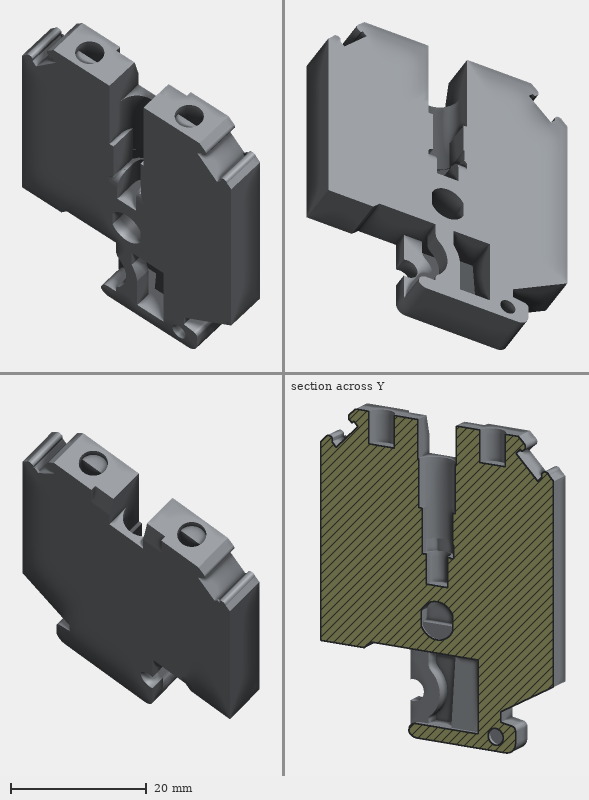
import cadquery as cq
import math

width = 40.0
thick = 6.7
height = 49.0
half = width / 2
skin = 0.3
back_skin = thick - skin

shoulder_z = 43.0
left_bottom_z = 12.5
right_bottom_z = 11.4
rail_z = 13.55
step_x = -11.4
step_rise = rail_z - left_bottom_z
foot_left = -5.05
foot_right = 13.5
foot_round_left = 1.6
foot_round_right = 1.75
neck_x = 10.95
neck_top = 6.2
lip_z = 4.65
lip_shoulder = (12.8, 4.35)
lip_arc_mid = (13.3, 4.1)
lip_arc_end_z = 3.6

hook_start_x = 13.95
hook_arc = [(14.9, 48.1), (15.2, 47.55), (15.1, 47.15)]
bump_arc = [(19.2, 43.8), (18.6, 44.25), (17.95, 43.9)]
bump_foot_z = 43.35
groove_top = (13.58, 46.32)
groove_bottom = (17.28, 42.62)
undercut_depth = 0.42
undercut_height = 0.95
undercut_run = undercut_depth * math.sqrt(0.5)
undercut_rise = undercut_height * math.sqrt(0.5)

slot_half = 3.25
well_top = 43.0
well_axis_y = 2.45
throat_left = -2.5
throat_right = 2.65
throat_top = 35.5
facet_top = 30.5
facet_bottom = 28.5
facet_half = 1.28
facet_right = 2.8
facet_shoulder_y = 4.45
well_back = well_axis_y + slot_half
seat_round = 2.1
seat_corner = 0.8
stem_half = 1.77
stem_bottom = 23.95
stem_axis_y = well_back - stem_half
nut_half = 2.2
nut_rise = 0.1

ramp_reach = 6.75
ramp_depth = 0.9
ramp_drop = 3.4

screw_x = 9.5
screw_y = 3.0
screw_d = 4.3
screw_step = 1.15
screw_depth = 5.0

test_d = 5.8
test_half_width = 2.65
test_z = 18.55
test_step_z = 17.95
test_step_depth = 3.7
test_depth = 5.0

open_left = foot_left - 1.0
foot_floor = 2.26
floor_round = 1.23
floor_round_x = -3.62
latch_x = -2.02
latch_thick = 2.58
plate_front = 4.24
bow_x = -4.6
bow_z = 7.0
bow_r = 4.55
bow_outer_r = 6.7
bow_upper_fillet = 1.8
bow_lower_fillet = 0.8
notch_x = -4.47
notch_r = 1.68
window_left = 2.05
window_right = 7.03
window_bottom_y = 4.04
window_top_y = 5.32
strip_left = 0.97
pin_x = 10.05
pin_d = 2.5
pin_depth = 4.0


def box(x0, x1, y0, y1, z0, z1):
    """Block given by its limits along the three axes."""
    return cq.Workplane("XY").box(x1 - x0, y1 - y0, z1 - z0, centered=False).translate((x0, y0, z0))


def front_prism(sketch, y0, y1):
    """Extrude a profile drawn in XZ from y0 to y1."""
    return sketch.extrude(-(y1 - y0)).translate((0, y0, 0))


def front_cylinder(x, z, radius, y0, y1):
    """Round bar along Y from y0 to y1."""
    return front_prism(cq.Workplane("XZ").center(x, z).circle(radius), y0, y1)


def mirror_x(point):
    """Point reflected to the other side of the slot."""
    return (-point[0], point[1])


def housing():
    """Full-thickness body with both marker grooves, slot and foot."""
    left_hook = [mirror_x(p) for p in hook_arc]
    left_bump = [mirror_x(p) for p in bump_arc]
    undercut_end = (groove_top[0] + undercut_rise, groove_top[1] + undercut_rise)
    upper_lip = (undercut_end[0] + undercut_run, undercut_end[1] - undercut_run)
    bump_foot = (bump_arc[2][0], bump_foot_z)
    outline = (
        cq.Workplane("XZ")
        .moveTo(-half, left_bottom_z)
        .lineTo(-half, shoulder_z)
        .lineTo(*left_bump[0])
        .threePointArc(left_bump[1], left_bump[2])
        .lineTo(*mirror_x(bump_foot))
        .lineTo(*mirror_x(groove_bottom))
        .lineTo(*mirror_x(groove_top))
        .lineTo(*mirror_x(undercut_end))
        .lineTo(*mirror_x(upper_lip))
        .lineTo(*left_hook[2])
        .threePointArc(left_hook[1], left_hook[0])
        .lineTo(-hook_start_x, height)
        .lineTo(hook_start_x, height)
        .lineTo(*hook_arc[0])
        .threePointArc(hook_arc[1], hook_arc[2])
        .lineTo(*upper_lip)
        .lineTo(*undercut_end)
        .lineTo(*groove_top)
        .lineTo(*groove_bottom)
        .lineTo(*bump_foot)
        .lineTo(*bump_arc[2])
        .threePointArc(bump_arc[1], bump_arc[0])
        .lineTo(half, shoulder_z)
        .lineTo(half, right_bottom_z)
        .lineTo(neck_x, neck_top)
        .lineTo(neck_x, lip_z)
        .lineTo(*lip_shoulder)
        .threePointArc(lip_arc_mid, (foot_right, lip_arc_end_z))
        .lineTo(foot_right, foot_round_right)
        .radiusArc((foot_right - foot_round_right, 0), foot_round_right)
        .lineTo(foot_left + foot_round_left, 0)
        .radiusArc((foot_left, foot_round_left), foot_round_left)
        .lineTo(foot_left, rail_z)
        .lineTo(step_x, rail_z)
        .lineTo(step_x - step_rise, left_bottom_z)
        .close()
    )
    return front_prism(outline, 0, thick)


def groove_skin(side):
    """Back skin that closes both undercut ends of one marker groove."""
    pieces = cq.Workplane("XZ")
    for (x, z), inward in ((groove_top, 1), (groove_bottom, -1)):
        run = inward * undercut_run
        corners = [
            (x, z),
            (x + run, z - run),
            (x + run + undercut_rise, z - run + undercut_rise),
            (x + undercut_rise, z + undercut_rise),
        ]
        pieces = pieces.polyline([(side * px, pz) for px, pz in corners]).close()
    return front_prism(pieces, back_skin, thick)


def arch(half_width, axis_y, z0, z1):
    """Well open at the front with a half-round back."""
    return (
        cq.Workplane("XY", origin=(0, 0, z0))
        .moveTo(-half_width, 0)
        .lineTo(-half_width, axis_y)
        .threePointArc((0, axis_y + half_width), (half_width, axis_y))
        .lineTo(half_width, 0)
        .close()
        .extrude(z1 - z0)
    )


def centre_well():
    """Slot, arched well, narrow throat, faceted seat and round stem."""
    slot = box(-slot_half, slot_half, 0, thick, well_top, height)
    upper = arch(slot_half, well_axis_y, throat_top, well_top)
    throat = arch(slot_half, well_axis_y, facet_top, throat_top).intersect(
        box(throat_left, throat_right, 0, thick, facet_top, throat_top)
    )
    facets = (
        cq.Workplane("XY", origin=(0, 0, facet_bottom))
        .polyline([
            (throat_left, 0),
            (throat_left, facet_shoulder_y),
            (-facet_half, well_back),
            (facet_half, well_back),
            (facet_right, facet_shoulder_y),
            (facet_right, 0),
        ])
        .close()
        .extrude(facet_top - facet_bottom)
    )
    nut_land = arch(slot_half, well_axis_y, facet_bottom, facet_bottom + nut_rise).intersect(
        box(-nut_half, nut_half, seat_round, well_back, facet_bottom, facet_bottom + nut_rise)
    )
    seat_bottom = facet_bottom - seat_round
    seat = box(-slot_half, slot_half, 0, seat_round, seat_bottom, facet_bottom)
    seat = seat.edges("|Y and >Z").fillet(seat_corner)
    nose = (
        cq.Workplane("YZ", origin=(-slot_half, seat_round, seat_bottom))
        .circle(seat_round)
        .extrude(2 * slot_half)
    )
    stem_well = arch(stem_half, stem_axis_y, stem_bottom, facet_bottom + nut_rise)
    seat_well = facets.cut(nut_land).union(seat.cut(nose)).union(stem_well)
    return slot.union(upper).union(throat).union(seat_well)


def slot_ramps():
    """Sloped relief on the back edge beside the slot."""
    return (
        cq.Workplane("YZ", origin=(-ramp_reach, 0, 0))
        .polyline([(thick - ramp_depth, height), (thick, height), (thick, height - ramp_drop)])
        .close()
        .extrude(2 * ramp_reach)
    )


def screw_hole(x):
    """Round hole in the top with a shallow step in its front half."""
    radius = screw_d / 2
    hole = cq.Workplane("XY", origin=(x, screw_y, height)).circle(radius).extrude(-screw_depth)
    step = box(x - radius, x + radius, screw_y - radius, screw_y, height - screw_depth, height - screw_step)
    return hole.cut(step)


def test_hole():
    """Round front hole with flat sides, shallower in its lower part."""
    radius = test_d / 2
    hole = front_cylinder(0, test_z, radius, 0, test_depth).intersect(
        box(-test_half_width, test_half_width, 0, test_depth, test_z - radius, test_z + radius)
    )
    step = box(-radius, radius, test_step_depth, test_depth, test_z - radius, test_step_z)
    return hole.cut(step)


def bow_pocket(y0, y1):
    """Pocket left of the latch: straight edge with a round bulge, blended."""
    pocket = box(open_left, latch_x, y0, y1, foot_floor, rail_z)
    pocket = pocket.union(front_cylinder(bow_x, bow_z, bow_r, y0, y1).intersect(
        box(open_left, bow_x + bow_r, y0, y1, foot_floor, rail_z)
    ))
    corner_rise = math.sqrt(bow_r ** 2 - (latch_x - bow_x) ** 2)
    for z, radius in ((bow_z + corner_rise, bow_upper_fillet), (bow_z - corner_rise, bow_lower_fillet)):
        corner = cq.selectors.NearestToPointSelector((latch_x, (y0 + y1) / 2, z))
        pocket = pocket.edges("|Y").edges(corner).fillet(radius)
    return pocket


def floor_rounding():
    """Material outside the rounded end of the pocket floor."""
    axis_z = foot_floor - floor_round
    corner = box(foot_left, floor_round_x, 0, plate_front, 0, foot_floor)
    return corner.cut(front_cylinder(floor_round_x, axis_z, floor_round, 0, plate_front))


def latch_void():
    """Free space behind the latch, less the back plate beside it."""
    void = box(open_left, window_left, latch_thick, back_skin, foot_floor, rail_z)
    return void.cut(bow_pocket(plate_front, thick))


def window():
    """Window with a sloped back, and the gap on the inner side of the latch."""
    opening = (
        cq.Workplane("YZ", origin=(window_left, 0, 0))
        .polyline([(0, foot_floor), (window_bottom_y, foot_floor), (window_top_y, rail_z), (0, rail_z)])
        .close()
        .extrude(window_right - window_left)
    )
    gap = box(strip_left, window_left, 0, latch_thick, bow_z, rail_z)
    return opening.union(gap.cut(front_cylinder(bow_x, bow_z, bow_outer_r, 0, latch_thick)))


result = housing()
for side in (-1, 1):
    result = result.union(groove_skin(side))
    result = result.cut(screw_hole(side * screw_x))
result = (
    result.cut(slot_ramps())
    .cut(centre_well())
    .cut(test_hole())
    .cut(bow_pocket(0, plate_front))
    .cut(floor_rounding())
    .cut(latch_void())
    .cut(window())
    .cut(front_cylinder(notch_x, bow_z, notch_r, 0, thick))
    .cut(front_cylinder(pin_x, foot_floor, pin_d / 2, 0, pin_depth))
)